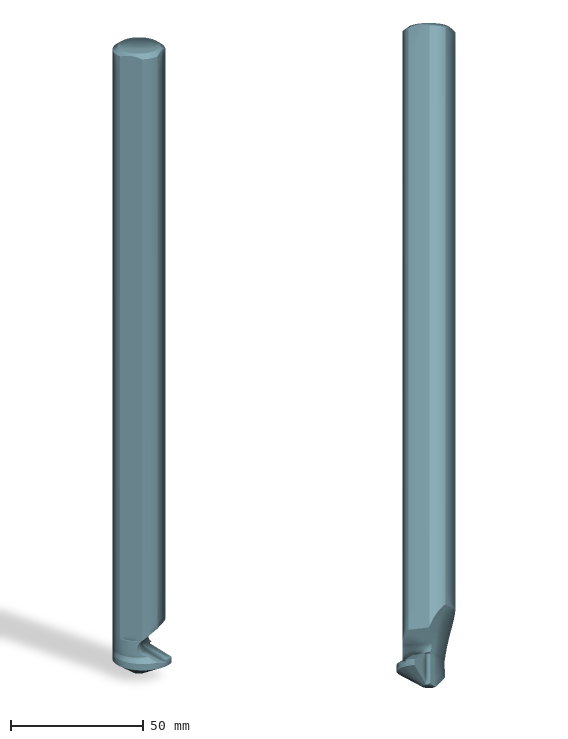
import cadquery as cq
import math

total_length = 256.8
shank_radius = 10.0
flat_distance = 9.0
flats_bottom = 16.2
end_chamfer_width = 2.0
end_chamfer_height = 1.5
joint_height = 12.0

relief_face = 2.0
relief_top = 30.0
relief_mid_y = 4.5
relief_mid_z = 21.5

tip_reach = 13.0
disc_radius = (shank_radius + tip_reach) / 2
disc_offset = tip_reach - disc_radius
disc_bottom = 5.5
disc_top = 8.0
collar_height = 9.8
end_face_radius = 2.5
rake_face = 0.0
rake_start = 2.8

notch_bottom = 2.8
notch_center_z = 14.0
notch_radius = 4.4 / 2
notch_center_x = notch_bottom + notch_radius
shank_side_angle = math.radians(41)
flank_angle = math.radians(26)
flank_land = 4.0
flank_step = 1.3

cut_size = 51.4


def cylinder(radius, bottom, top):
    return cq.Workplane("XY").workplane(offset=bottom).circle(radius).extrude(top - bottom)


def block(x_min, y_min, z_min, x_size, y_size, z_size):
    return cq.Workplane("XY").box(x_size, y_size, z_size, centered=False).translate((x_min, y_min, z_min))


def frustum(bottom_radius, bottom_x, bottom, top_radius, top_x, top):
    """Solid between two horizontal circles whose centers lie on the X axis."""
    return (
        cq.Workplane("XY", origin=(bottom_x, 0, bottom)).circle(bottom_radius)
        .workplane(offset=top - bottom).center(top_x - bottom_x, 0).circle(top_radius)
        .loft(ruled=True)
    )


def notch(drop, y_min, y_max):
    """Round-bottomed V opening toward +X, with its lower flank lowered by drop."""
    upper_x = notch_center_x - notch_radius * math.sin(shank_side_angle)
    upper_z = notch_center_z + notch_radius * math.cos(shank_side_angle)
    lower_x = notch_center_x - notch_radius * math.sin(flank_angle)
    lower_z = notch_center_z - drop - notch_radius * math.cos(flank_angle)
    run = cut_size / 2
    return (
        cq.Workplane("XZ", origin=(0, y_max, 0))
        .moveTo(upper_x, upper_z)
        .threePointArc((notch_bottom, notch_center_z - drop / 2), (lower_x, lower_z))
        .lineTo(lower_x + run, lower_z - run * math.tan(flank_angle))
        .lineTo(upper_x + run, upper_z + run * math.tan(shank_side_angle))
        .close()
        .extrude(y_max - y_min)
    )


def stepped_notch():
    land = notch(0, rake_face - flank_land, cut_size)
    behind_land = notch(flank_step, -cut_size, rake_face - flank_land)
    return land.union(behind_land)


def relief():
    """Material removed above the relief face and its concave run-out."""
    return (
        cq.Workplane("YZ", origin=(-cut_size / 2, 0, 0))
        .moveTo(relief_face, 0)
        .lineTo(relief_face, joint_height)
        .threePointArc((relief_mid_y, relief_mid_z), (flat_distance, relief_top))
        .lineTo(cut_size, relief_top)
        .lineTo(cut_size, 0)
        .close()
        .extrude(cut_size)
    )


def make_shank():
    chamfer_bottom = total_length - end_chamfer_height
    bar = cylinder(shank_radius, joint_height, chamfer_bottom)
    bar = bar.union(
        frustum(shank_radius, 0, chamfer_bottom, shank_radius - end_chamfer_width, 0, total_length)
    )
    flat = block(flat_distance, -cut_size / 2, flats_bottom, cut_size, cut_size, total_length)
    for angle in (-90, 0, 90):
        bar = bar.cut(flat.rotate((0, 0, 0), (0, 0, 1), angle))
    return bar.cut(relief()).cut(stepped_notch())


def make_head():
    core = cylinder(shank_radius, disc_bottom, joint_height)
    disc = cylinder(disc_radius, disc_bottom, disc_top).translate((disc_offset, 0, 0))
    shoulder = frustum(disc_radius, disc_offset, disc_top, shank_radius, 0, collar_height)
    nose = frustum(end_face_radius, 0, 0, disc_radius, disc_offset, disc_bottom)
    head = core.union(disc).union(shoulder).union(nose)
    rake_pocket = block(rake_start, rake_face, 0, cut_size, cut_size, joint_height)
    return head.cut(relief()).cut(rake_pocket).cut(stepped_notch())


shank = make_shank()
head = make_head()
result = cq.Compound.makeCompound([shank.val(), head.val()])